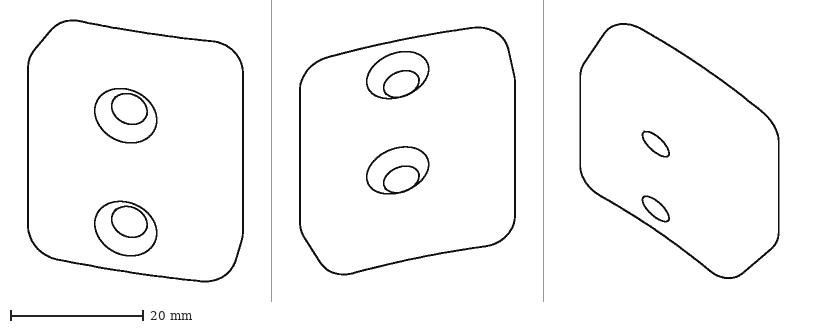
import cadquery as cq
import math

height = 38.0
width = 32.0
thickness = 11.97
middle_radius = 120.0
outer_radius = middle_radius + thickness / 2
inner_radius = middle_radius - thickness / 2

corner_radius = 5.0
edge_radius = 3.0

hole_spacing = 20.0
hole_diameter = 5.4
sink_diameter = 9.5
sink_depth = (sink_diameter - hole_diameter) / 2

overrun = 1.9


def at_distance(distance):
    """XZ workplane, normal to -Y, at a distance from the bend axis; the outer face touches Y = 0."""
    return cq.Workplane("XZ", origin=(0, outer_radius - distance, 0))


def taper_between(draw, far_distance, near_distance):
    """Straight-sided solid between two outlines drawn at two distances from the bend axis."""
    wires = [draw(distance).wires().val() for distance in (far_distance, near_distance)]
    return cq.Workplane(obj=cq.Solid.makeLoft(wires, True))


def pad_outline(distance):
    """Rounded rectangle whose X sizes grow in proportion to the distance from the bend axis."""
    half_width = distance * math.tan(width / 2 / middle_radius)
    straight_x = distance * math.tan((width / 2 - corner_radius) / middle_radius)
    corner_x = half_width - straight_x
    half_height = height / 2
    straight_z = half_height - corner_radius
    return (
        at_distance(distance)
        .moveTo(-straight_x, -half_height)
        .lineTo(straight_x, -half_height)
        .ellipseArc(corner_x, corner_radius, 270, 360)
        .lineTo(half_width, straight_z)
        .ellipseArc(corner_x, corner_radius, 0, 90)
        .lineTo(-straight_x, half_height)
        .ellipseArc(corner_x, corner_radius, 90, 180)
        .lineTo(-half_width, -straight_z)
        .ellipseArc(corner_x, corner_radius, 180, 270)
        .close()
    )


def make_pad():
    tube = (
        cq.Workplane("XY", origin=(0, outer_radius, -height))
        .circle(outer_radius)
        .circle(inner_radius)
        .extrude(2 * height)
    )
    wedge = taper_between(pad_outline, outer_radius + overrun, inner_radius - overrun)
    pad = wedge.intersect(tube)
    broad_faces = pad.faces("<Y").add(pad.faces(">Y"))
    return broad_faces.edges().fillet(edge_radius)


def bent_hole(z, far_diameter, near_diameter, far_distance, near_distance):
    """Round hole of the flat pad, made elliptical by the bend."""

    def ellipse_at(distance):
        diameter = far_diameter if distance == far_distance else near_diameter
        stretch = distance / middle_radius
        return at_distance(distance).center(0, z).ellipse(stretch * diameter / 2, diameter / 2)

    return taper_between(ellipse_at, far_distance, near_distance)


result = make_pad()
for hole_z in (-hole_spacing / 2, hole_spacing / 2):
    bore = bent_hole(hole_z, hole_diameter, hole_diameter, outer_radius, inner_radius - overrun)
    sink = bent_hole(hole_z, sink_diameter, hole_diameter, outer_radius, outer_radius - sink_depth)
    result = result.cut(bore).cut(sink)